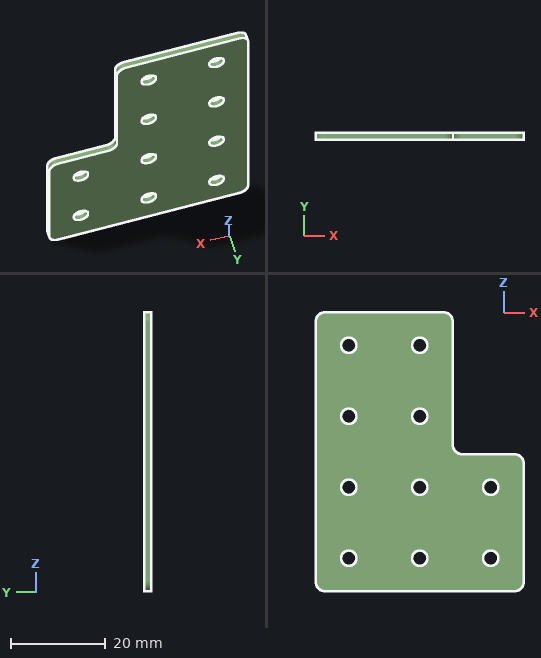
import cadquery as cq

hole_pitch = 15.0
hole_diameter = 3.2
lower_columns = 3
upper_columns = 2
lower_rows = 2
total_rows = 4

edge_margin = 7.0
thickness = 1.5
corner_radius = 2.0


def plate_span(hole_count):
    """Plate length that holds a line of holes with a margin at both ends."""
    return (hole_count - 1) * hole_pitch + 2 * edge_margin


full_width = plate_span(lower_columns)
upper_width = plate_span(upper_columns)
full_height = plate_span(total_rows)
lower_height = plate_span(lower_rows)


def make_plate():
    """L-shaped plate in the XZ plane, with all its corners rounded, the inner one included."""
    outline = [
        (0, 0),
        (full_width, 0),
        (full_width, lower_height),
        (upper_width, lower_height),
        (upper_width, full_height),
        (0, full_height),
    ]
    plate = cq.Workplane("XZ").polyline(outline).close().extrude(-thickness)
    return plate.edges("|Y").fillet(corner_radius)


def hole_centres():
    """Grid of hole centres, with shorter rows in the upper part."""
    centres = []
    for row in range(total_rows):
        columns = lower_columns if row < lower_rows else upper_columns
        for column in range(columns):
            x = edge_margin + column * hole_pitch
            z = edge_margin + row * hole_pitch
            centres.append((x, z))
    return centres


def make_holes():
    """Cylinders that cut the holes through the full thickness."""
    return cq.Workplane("XZ").pushPoints(hole_centres()).circle(hole_diameter / 2).extrude(-thickness)


result = make_plate().cut(make_holes())